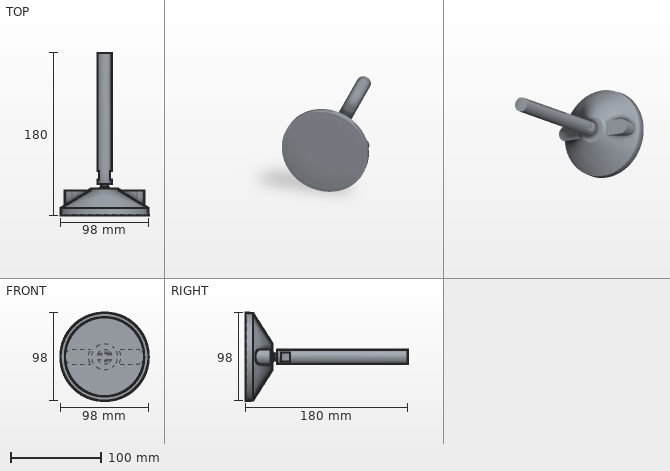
import cadquery as cq

total_length = 180.0
rim_length = 8.3
lug_top = 27.9
cone_top = 30.0
stem_start = 35.0
flat_start = 39.8
flat_end = 49.3

foot_diameter = 98.0
rim_back_diameter = 97.2
cone_top_diameter = 28.8
pad_diameter = 87.5
pad_recess_diameter = 88.0
pad_groove_depth = 1.0

lug_length = 88.2
lug_width = 16.5

stem_diameter = 16.0
across_flats = 12.6
neck_diameter = 7.7
ball_diameter = 12.5
ball_center = 26.8


def cylinder(diameter, start, end):
    """Cylinder on the Y axis between two stations."""
    axis = cq.Vector(0, 1, 0)
    return cq.Workplane(cq.Solid.makeCylinder(diameter / 2, end - start, cq.Vector(0, start, 0), axis))


def make_foot():
    """Slightly tapered rim and cone, with a fine groove around the pad."""
    profile = [
        (0, 0),
        (foot_diameter / 2, 0),
        (rim_back_diameter / 2, rim_length),
        (cone_top_diameter / 2, cone_top),
        (0, cone_top),
    ]
    body = cq.Workplane("XY").polyline(profile).close().revolve(360, (0, 0, 0), (0, 1, 0))
    recess = cylinder(pad_recess_diameter, 0, pad_groove_depth)
    pad = cylinder(pad_diameter, 0, pad_groove_depth)
    return body.cut(recess.cut(pad))


def make_lugs():
    """Round-ended bar whose two ends stand out of the cone."""
    return (
        cq.Workplane("XZ", origin=(0, rim_length, 0))
        .slot2D(lug_length, lug_width)
        .extrude(rim_length - lug_top)
    )


def make_stem():
    """Round stem with a pair of wrench flats facing -X and +X."""
    stem = cylinder(stem_diameter, stem_start, total_length)
    flat_band = cylinder(stem_diameter, flat_start, flat_end)
    flat_length = flat_end - flat_start
    kept_core = cq.Workplane("XY").box(across_flats, flat_length, stem_diameter)
    kept_core = kept_core.translate((0, (flat_start + flat_end) / 2, 0))
    return stem.cut(flat_band.cut(kept_core))


def make_joint():
    """Ball seated in the foot and the neck that joins it to the stem."""
    ball = cq.Workplane("XY").sphere(ball_diameter / 2).translate((0, ball_center, 0))
    return ball.union(cylinder(neck_diameter, ball_center, stem_start))


result = make_foot().union(make_lugs()).union(make_joint()).union(make_stem())